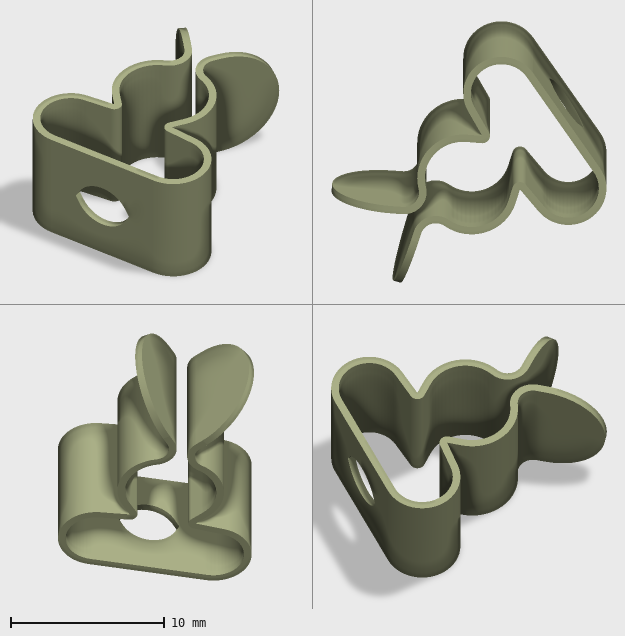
import cadquery as cq
import math

width = 8.0
thickness = 0.5
length = 16.1
foot_span = 12.8
foot_radius = 2.5
foot_slope = 5.0
jaw_radius = 3.0
jaw_x = 0.5
jaw_y = 7.81
heel_angle = 51.0
neck_radius = 1.5
gap = 0.75
flare_angle = 51.6
hole_half_height = 1.56
hole_half_length = 2.03
hole_arc_radius = 1.96


def polar(center, radius, degrees):
    """Point at a given radius and direction from a centre."""
    angle = math.radians(degrees)
    return (center[0] + radius * math.cos(angle), center[1] + radius * math.sin(angle))


def crossing(p, p_degrees, q, q_degrees):
    """Intersection of two lines, each given by a point and a direction."""
    ux, uy = polar((0, 0), 1, p_degrees)
    vx, vy = polar((0, 0), 1, q_degrees)
    travel = ((q[0] - p[0]) * vy - (q[1] - p[1]) * vx) / (ux * vy - uy * vx)
    return (p[0] + travel * ux, p[1] + travel * uy)


foot_center = (foot_span / 2 - foot_radius, foot_radius)
jaw_center = (jaw_x, jaw_y)
neck_inner_radius = neck_radius - thickness
neck_x = gap / 2 + neck_radius
center_distance = jaw_radius + neck_inner_radius
neck_center = (neck_x, jaw_y + math.sqrt(center_distance**2 - (neck_x - jaw_x) ** 2))

foot_end = 90 - foot_slope
jaw_start = heel_angle - 90
jaw_end = math.degrees(math.atan2(neck_center[1] - jaw_y, neck_x - jaw_x))
neck_start = jaw_end + 180
neck_end = 90 + flare_angle

heel = crossing(
    polar(foot_center, foot_radius, foot_end), 180 - foot_slope,
    polar(jaw_center, jaw_radius, jaw_start), heel_angle,
)

flare_tangent = polar(neck_center, neck_radius, neck_end)
flare_length = (length - flare_tangent[1]) / math.sin(math.radians(flare_angle))
flare_tip = polar(flare_tangent, flare_length, flare_angle)
flare_outer_tip = polar(flare_tip, thickness, flare_angle - 90)


def make_half():
    """The +X half of the bent strip."""
    foot_inner = foot_radius - thickness
    jaw_inner = jaw_radius - thickness
    return (
        cq.Workplane("XY")
        .moveTo(0, 0)
        .lineTo(foot_center[0], 0)
        .threePointArc(polar(foot_center, foot_radius, 0), polar(foot_center, foot_radius, foot_end))
        .lineTo(*heel)
        .lineTo(*polar(jaw_center, jaw_radius, jaw_start))
        .threePointArc(polar(jaw_center, jaw_radius, 0), polar(jaw_center, jaw_radius, jaw_end))
        .threePointArc(
            polar(neck_center, neck_inner_radius, 180),
            polar(neck_center, neck_inner_radius, neck_end),
        )
        .lineTo(*flare_outer_tip)
        .lineTo(*flare_tip)
        .lineTo(*flare_tangent)
        .threePointArc(polar(neck_center, neck_radius, 180), polar(neck_center, neck_radius, neck_start))
        .threePointArc(polar(jaw_center, jaw_inner, 0), polar(jaw_center, jaw_inner, jaw_start))
        .lineTo(*polar(heel, thickness, heel_angle + 90))
        .threePointArc(polar(heel, thickness, 180), polar(heel, thickness, 270 - foot_slope))
        .lineTo(*polar(foot_center, foot_inner, foot_end))
        .threePointArc(polar(foot_center, foot_inner, 0), (foot_center[0], thickness))
        .lineTo(0, thickness)
        .close()
        .extrude(width / 2, both=True)
    )


def flare_trim():
    """Material outside the semicircular end of the +X flare."""
    radius = width / 2
    flare_plane = cq.Plane(
        origin=(*flare_tip, 0),
        xDir=(*polar((0, 0), 1, flare_angle), 0),
        normal=(*polar((0, 0), 1, flare_angle - 90), 0),
    )
    corners = cq.Workplane(flare_plane).center(-radius / 2, 0).rect(radius, width).extrude(thickness)
    disc = cq.Workplane(flare_plane).center(-radius, 0).circle(radius).extrude(thickness)
    return corners.cut(disc)


def screw_hole():
    """Lens-shaped cutter through the foot plate: two arcs joined by tangents to a point at each end."""
    arc_drop = hole_arc_radius - hole_half_height
    tip_distance = math.hypot(hole_half_length, arc_drop)
    tip_direction = math.degrees(math.atan2(arc_drop, hole_half_length))
    tangent_direction = tip_direction + math.degrees(math.acos(hole_arc_radius / tip_distance))
    tangent_x, tangent_z = polar((0, -arc_drop), hole_arc_radius, tangent_direction)
    return (
        cq.Workplane("XZ")
        .moveTo(hole_half_length, 0)
        .lineTo(tangent_x, tangent_z)
        .threePointArc((0, hole_half_height), (-tangent_x, tangent_z))
        .lineTo(-hole_half_length, 0)
        .lineTo(-tangent_x, -tangent_z)
        .threePointArc((0, -hole_half_height), (tangent_x, -tangent_z))
        .close()
        .extrude(-thickness)
    )


half = make_half().cut(flare_trim())
result = half.union(half.mirror("YZ")).cut(screw_hole()).clean()